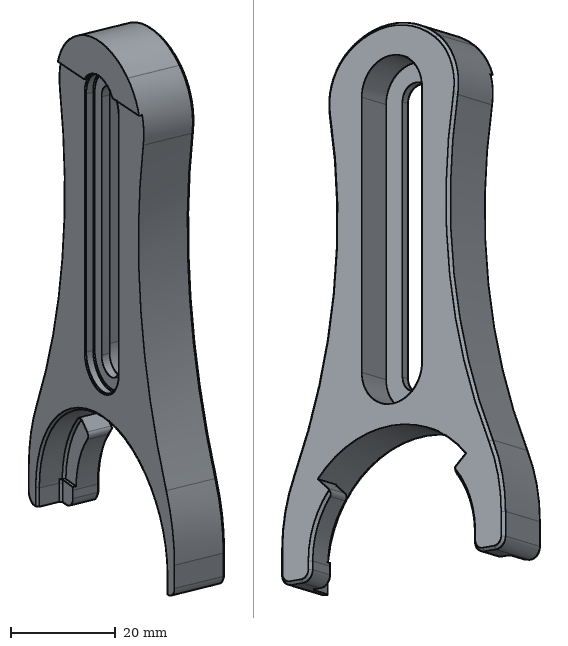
import cadquery as cq
import math


plate_thickness = 11.5
head_pad_height = 0.69
head_pad_bottom_z = 92.5
back_chamfer = 0.6

top_z = 102.54
crown_radius = 17.0
head_half_width = 15.5
head_corner_radius = 13.0
waist_half_width = 13.54
waist_radius = 120.0
fork_half_width = 26.745
hip_end_z = 3.15
fork_bottom_z = -4.0
arm_end_fillet = 2.3

bore_radius = 23.65
bore_rim_chamfer = 0.5
ledge_inner_radius = 19.38
ledge_depth = 5.4
ledge_corner_chamfer = 0.5
ledge_relief_depth = 0.7
relief_start_angle = 1.8
ledge_end_angle = 41.5
ledge_end_fillet = 1.1

slot_lower_z = 35.1
slot_upper_z = 89.0
slot_radius = 3.3
recess_radius = 6.0
recess_chamfer = 0.25
recess_depth = 2.0
slot_lip_thickness = 1.8
back_pocket_radius = 7.2

cut_margin = 1.0


def sketch_at(y):
    """XZ sketch plane at the given Y; its normal points toward -Y."""
    return cq.Workplane("XZ", origin=(0, y, 0))


def extrude_back(sketch, depth):
    """Extrude a closed XZ sketch toward +Y."""
    return sketch.extrude(-depth)


def point_toward(start, end, distance):
    """Point on the line from start to end, at a distance from start."""
    length = math.dist(start, end)
    return tuple(a + (b - a) * distance / length for a, b in zip(start, end))


def on_arc(center, radius, start, end):
    """Point of an arc halfway between its two ends."""
    chord_middle = tuple((a + b) / 2 for a, b in zip(start, end))
    return point_toward(center, chord_middle, radius)


def mirrored(point):
    """Point on the opposite side of the X = 0 plane."""
    return (-point[0], point[1])


def polar(radius, angle):
    """(X, Z) of a point about the bore axis; the angle in degrees rises from +X."""
    return (radius * math.cos(math.radians(angle)), radius * math.sin(math.radians(angle)))


def make_plate():
    """Fork-shaped plate with its ledges still at full thickness."""
    crown_center = (0, top_z - crown_radius)
    corner_x = head_half_width - head_corner_radius
    corner_rise = math.sqrt((crown_radius - head_corner_radius) ** 2 - corner_x**2)
    corner_center = (corner_x, crown_center[1] + corner_rise)
    waist_x = waist_half_width + waist_radius
    waist_drop = math.sqrt((waist_radius + head_corner_radius) ** 2 - (waist_x - corner_x) ** 2)
    waist_center = (waist_x, corner_center[1] - waist_drop)
    hip_gap = waist_x - fork_half_width
    hip_rise = waist_center[1] - hip_end_z
    hip_radius = (hip_gap**2 + hip_rise**2 - waist_radius**2) / (2 * (waist_radius - hip_gap))
    hip_center = (fork_half_width - hip_radius, hip_end_z)

    crown_end = point_toward(crown_center, corner_center, crown_radius)
    corner_end = point_toward(corner_center, waist_center, head_corner_radius)
    waist_end = point_toward(waist_center, hip_center, waist_radius)
    hip_end = (fork_half_width, hip_end_z)
    on_corner = on_arc(corner_center, head_corner_radius, crown_end, corner_end)
    on_waist = on_arc(waist_center, waist_radius, corner_end, waist_end)
    on_hip = on_arc(hip_center, hip_radius, waist_end, hip_end)

    outline = (
        sketch_at(-head_pad_height)
        .moveTo(*mirrored(crown_end))
        .threePointArc((0, top_z), crown_end)
        .threePointArc(on_corner, corner_end)
        .threePointArc(on_waist, waist_end)
        .threePointArc(on_hip, hip_end)
        .lineTo(fork_half_width, fork_bottom_z)
        .lineTo(ledge_inner_radius, fork_bottom_z)
        .lineTo(ledge_inner_radius, 0)
        .threePointArc((0, ledge_inner_radius), (-ledge_inner_radius, 0))
        .lineTo(-ledge_inner_radius, fork_bottom_z)
        .lineTo(-fork_half_width, fork_bottom_z)
        .lineTo(*mirrored(hip_end))
        .threePointArc(mirrored(on_hip), mirrored(waist_end))
        .threePointArc(mirrored(on_waist), mirrored(corner_end))
        .threePointArc(mirrored(on_corner), mirrored(crown_end))
        .close()
    )
    plate = extrude_back(outline, plate_thickness + head_pad_height)
    arm_ends = cq.selectors.BoxSelector(
        (-fork_half_width - cut_margin, -head_pad_height, fork_bottom_z - cut_margin),
        (fork_half_width + cut_margin, plate_thickness, fork_bottom_z + cut_margin),
    )
    plate = plate.edges("|Y").edges(arm_ends).fillet(arm_end_fillet)
    return plate.faces(">Y").edges().chamfer(back_chamfer)


def front_face_cut():
    """Material removed below the head pad to reach the main front face."""
    height = head_pad_bottom_z - fork_bottom_z + cut_margin
    width = 2 * (fork_half_width + cut_margin)
    sketch = sketch_at(-head_pad_height).center(0, head_pad_bottom_z - height / 2)
    return extrude_back(sketch.rect(width, height), head_pad_height)


def bore_profile(y, radius):
    """Half circle with straight legs running out through the arm ends."""
    leg_z = fork_bottom_z - cut_margin
    return (
        sketch_at(y)
        .moveTo(radius, leg_z)
        .lineTo(radius, 0)
        .threePointArc((0, radius), (-radius, 0))
        .lineTo(-radius, leg_z)
        .close()
    )


def bore_cut(depth):
    """Bore from the front face to a depth, narrowing at the ledge corner."""
    bore = extrude_back(bore_profile(0, bore_radius), depth)
    return bore.faces(">Y").edges().chamfer(ledge_corner_chamfer)


def bore_rim_cut():
    """Chamfer around the front rim of the bore."""
    profile = bore_profile(-cut_margin, bore_radius + bore_rim_chamfer)
    rim = extrude_back(profile, cut_margin + bore_rim_chamfer)
    return rim.faces(">Y").edges().chamfer(bore_rim_chamfer)


def sector(start_angle):
    """Wedge about the bore axis, from an angle on +X to its mirror on -X."""
    reach = 2 * bore_radius
    corner = polar(reach, start_angle)
    wedge = (
        sketch_at(-cut_margin)
        .moveTo(0, 0)
        .lineTo(*corner)
        .lineTo(corner[0], reach)
        .lineTo(-corner[0], reach)
        .lineTo(*mirrored(corner))
        .close()
    )
    return extrude_back(wedge, plate_thickness + 2 * cut_margin)


def arch_cut():
    """Through opening between the two ledge ends."""
    arch = extrude_back(bore_profile(0, bore_radius), plate_thickness + cut_margin)
    return arch.intersect(sector(ledge_end_angle))


def ledge_end_edges():
    """Selector for the inner corners where the ledges stop."""
    x, z = polar(ledge_inner_radius, ledge_end_angle)
    size = cut_margin / 2
    boxes = [
        cq.selectors.BoxSelector(
            (side * x - size, 0, z - size),
            (side * x + size, plate_thickness, z + size),
        )
        for side in (-1, 1)
    ]
    return boxes[0] + boxes[1]


def slot_cut(y, radius, depth):
    """Round-ended upright slot starting at a depth and running toward +Y."""
    length = slot_upper_z - slot_lower_z + 2 * radius
    middle_z = (slot_upper_z + slot_lower_z) / 2
    return extrude_back(sketch_at(y).center(0, middle_z).slot2D(length, 2 * radius, 90), depth)


def recess_cut():
    """Front recess, narrowing by a small chamfer where it meets its floor."""
    recess = slot_cut(-cut_margin, recess_radius, recess_depth + cut_margin)
    return recess.faces(">Y").edges().chamfer(recess_chamfer)


def recess_rim_cut():
    """Chamfer around the front rim of the slot recess."""
    rim = slot_cut(-cut_margin, recess_radius + recess_chamfer, cut_margin + recess_chamfer)
    return rim.faces(">Y").edges().chamfer(recess_chamfer)


def cut_slot(body):
    """Cut the recess, the narrow slot and the back pocket, front to back."""
    pocket_y = recess_depth + slot_lip_thickness
    body = body.cut(recess_rim_cut())
    body = body.cut(recess_cut())
    body = body.cut(slot_cut(0, slot_radius, plate_thickness))
    return body.cut(slot_cut(pocket_y, back_pocket_radius, plate_thickness - pocket_y))


result = make_plate().cut(front_face_cut())
result = result.cut(arch_cut())
result = result.edges("|Y").edges(ledge_end_edges()).fillet(ledge_end_fillet)
result = result.cut(bore_cut(ledge_depth))
result = result.cut(bore_cut(ledge_depth + ledge_relief_depth).intersect(sector(relief_start_angle)))
result = result.cut(bore_rim_cut())
result = cut_slot(result)